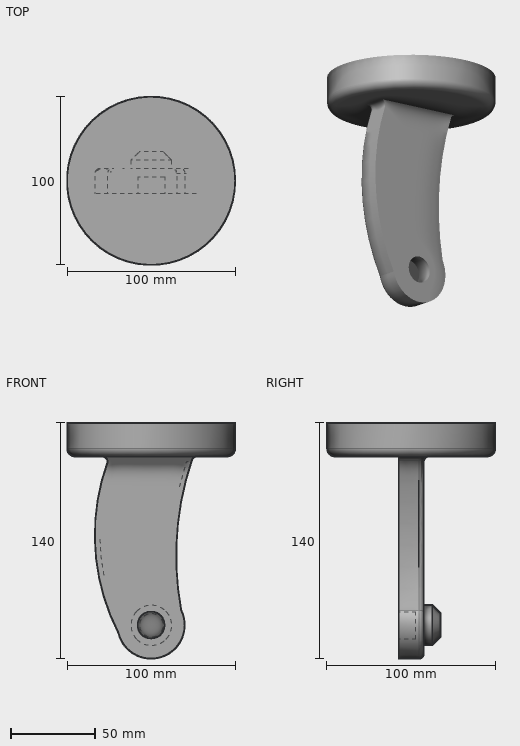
import cadquery as cq
import math

disc_radius = 50.0
disc_thickness = 20.0
disc_edge_fillet = 5.0

arm_top_left_x = -24.6
arm_top_right_x = 25.0
arm_thickness = 15.0
arm_back_fillet = 3.0
root_fillet = 3.0

pivot_z = -100.0
end_radius = 20.0

left_arc_radius = 127.0
left_joint_angle = 193.5
right_arc_radius = 178.0
right_arc_foot_x = 19.8

pin_radius = 12.0
pin_length = 10.0
pin_chamfer = 5.0

hole_radius = 8.0
hole_depth = 10.0

arm_front_y = -arm_thickness / 2
arm_back_y = arm_thickness / 2
tolerance = 0.01


def cylinder_on_pivot(start_y, radius, length):
    """Cylinder on the pivot axis, running from start_y toward +Y."""
    base = cq.Plane(origin=(0, start_y, pivot_z), xDir=(0, 0, -1), normal=(0, 1, 0))
    return cq.Workplane(base).circle(radius).extrude(length)


def left_arc_foot():
    """Point (x, z) where the left arc stops, just inside the round end.

    The arc's centre lies on the inner side of the chord from the arm's top corner to the
    joint; the foot lies on the line from that centre through the pivot.
    """
    angle = math.radians(left_joint_angle)
    joint_x = end_radius * math.cos(angle)
    joint_z = pivot_z + end_radius * math.sin(angle)
    chord_x = joint_x - arm_top_left_x
    chord_z = joint_z
    chord = math.hypot(chord_x, chord_z)
    center_offset = math.sqrt(left_arc_radius**2 - (chord / 2) ** 2)
    center_x = (arm_top_left_x + joint_x) / 2 - chord_z / chord * center_offset
    center_z = joint_z / 2 + chord_x / chord * center_offset
    reach = left_arc_radius / math.hypot(center_x, center_z - pivot_z)
    return (center_x * (1 - reach), center_z + (pivot_z - center_z) * reach)


def make_disc():
    disc = cq.Workplane("XY").circle(disc_radius).extrude(disc_thickness)
    return disc.faces("<Z").edges().fillet(disc_edge_fillet)


def make_arm():
    """Curved band and round end, each rounded on its own back edges, then joined."""
    band = (
        cq.Workplane("XZ", origin=(0, arm_back_y, 0))
        .moveTo(arm_top_right_x, 0)
        .lineTo(arm_top_left_x, 0)
        .radiusArc(left_arc_foot(), -left_arc_radius)
        .lineTo(right_arc_foot_x, pivot_z)
        .radiusArc((arm_top_right_x, 0), right_arc_radius)
        .close()
        .extrude(arm_thickness)
    )
    band = band.faces(">Y").edges("%CIRCLE").fillet(arm_back_fillet)
    round_end = cylinder_on_pivot(arm_front_y, end_radius, arm_thickness)
    round_end = round_end.faces(">Y").edges().fillet(arm_back_fillet)
    return band.union(round_end)


def fillet_root(body):
    """Blend the sides and the back of the arm into the disc; the front stays sharp."""
    reach = arm_top_right_x + tolerance
    root_box = cq.selectors.BoxSelector(
        (-reach, arm_front_y + tolerance, -tolerance),
        (reach, arm_back_y + tolerance, tolerance),
    )
    return body.edges(root_box).edges("not %CIRCLE").fillet(root_fillet)


def make_pin():
    pin = cylinder_on_pivot(arm_back_y, pin_radius, pin_length)
    return pin.faces(">Y").edges().chamfer(pin_chamfer)


body = fillet_root(make_disc().union(make_arm()))
body = body.union(make_pin())
result = body.cut(cylinder_on_pivot(arm_front_y, hole_radius, hole_depth))